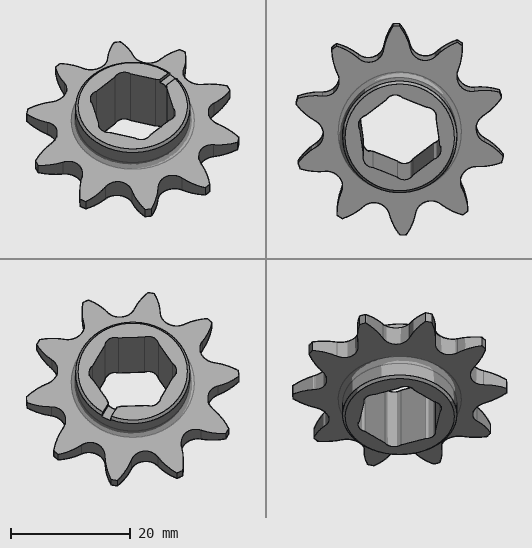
import cadquery as cq
import math

hub_radius = 9.53
hub_height = 12.7
hub_chamfer = 0.43
hub_fillet = 0.9

tooth_count = 10
tip_radius = 17.85
tip_thickness = 2.0
face_slope = 10.0
root_radius = 12.75
roller_seat_radius = 2.57
seat_half_angle = 60.0
tip_width = 1.07

bore_half_flats = 6.43
bore_corner_reach = 7.3
bore_corner_radius = 1.7

slot_width = 1.6
slot_depth = 0.8


def polar(radius, degrees):
    angle = math.radians(degrees)
    return radius * math.cos(angle), radius * math.sin(angle)


def make_body():
    """Revolve the hub and tapered disc, then blend the hub into the disc."""
    half_height = hub_height / 2
    half_tip = tip_thickness / 2
    rise = (tip_radius - hub_radius) * math.tan(math.radians(face_slope))
    half_base = half_tip + rise
    body = (
        cq.Workplane("XZ")
        .moveTo(0, -half_height)
        .lineTo(hub_radius, -half_height)
        .lineTo(hub_radius, -half_base)
        .lineTo(tip_radius, -half_tip)
        .lineTo(tip_radius, half_tip)
        .lineTo(hub_radius, half_base)
        .lineTo(hub_radius, half_height)
        .lineTo(0, half_height)
        .close()
        .revolve(360, (0, 0, 0), (0, 1, 0))
    )
    margin = 0.05
    corner_half_size = hub_radius + margin
    for height in (-half_base, half_base):
        corner = cq.selectors.BoxSelector(
            (-corner_half_size, -corner_half_size, height - margin),
            (corner_half_size, corner_half_size, height + margin),
            boundingbox=True,
        )
        body = body.edges(corner).fillet(hub_fillet)
    return body.faces("<Z or >Z").edges().chamfer(hub_chamfer)


def make_tooth_gap():
    """Cutter for one gap on +Y: a roller seat with convex flanks up to the tips."""
    seat_center = root_radius + roller_seat_radius
    seat_angle = math.radians(seat_half_angle)
    seat_x = roller_seat_radius * math.sin(seat_angle)
    seat_y = seat_center - roller_seat_radius * math.cos(seat_angle)
    half_tip_angle = math.degrees(math.asin(tip_width / 2 / tip_radius))
    tip_x, tip_y = polar(tip_radius, 90 - 180 / tooth_count + half_tip_angle)
    outer_scale = 1.1
    outer_x, outer_y = tip_x * outer_scale, tip_y * outer_scale

    chord_x, chord_y = tip_x - seat_x, tip_y - seat_y
    chord = math.hypot(chord_x, chord_y)
    turn = seat_angle - math.atan2(chord_y, chord_x)
    bulge = chord / 2 * math.tan(turn / 2)
    mid_x = (seat_x + tip_x) / 2 - bulge * chord_y / chord
    mid_y = (seat_y + tip_y) / 2 + bulge * chord_x / chord

    return (
        cq.Workplane("XY")
        .workplane(offset=-hub_height / 2)
        .moveTo(-outer_x, outer_y)
        .lineTo(-tip_x, tip_y)
        .threePointArc((-mid_x, mid_y), (-seat_x, seat_y))
        .threePointArc((0, root_radius), (seat_x, seat_y))
        .threePointArc((mid_x, mid_y), (tip_x, tip_y))
        .lineTo(outer_x, outer_y)
        .close()
        .extrude(hub_height)
    )


def make_bore():
    """Hexagon with corners on the Y axis, each replaced by an arc past the flats."""
    arc_center = bore_corner_reach - bore_corner_radius
    center_to_flat = bore_half_flats - arc_center * math.cos(math.radians(30))
    flat_half_length = arc_center / 2 - math.sqrt(bore_corner_radius**2 - center_to_flat**2)
    end_radius = math.hypot(bore_half_flats, flat_half_length)
    end_angle = math.degrees(math.atan2(flat_half_length, bore_half_flats))

    outline = cq.Workplane("XY").workplane(offset=-hub_height / 2)
    outline = outline.moveTo(*polar(end_radius, -end_angle))
    for side in range(6):
        flat_angle = side * 60
        outline = outline.lineTo(*polar(end_radius, flat_angle + end_angle))
        outline = outline.threePointArc(
            polar(bore_corner_reach, flat_angle + 30),
            polar(end_radius, flat_angle + 60 - end_angle),
        )
    return outline.close().extrude(hub_height)


def make_slot():
    """Cutter from the bore out through the hub wall on +Y."""
    return (
        cq.Workplane("XY")
        .workplane(offset=hub_height / 2 - slot_depth)
        .center(0, hub_radius / 2)
        .rect(slot_width, hub_radius)
        .extrude(slot_depth)
    )


result = make_body()
tooth_gap = make_tooth_gap()
for index in range(tooth_count):
    result = result.cut(tooth_gap.rotate((0, 0, 0), (0, 0, 1), index * 360 / tooth_count))
result = result.cut(make_bore()).cut(make_slot())